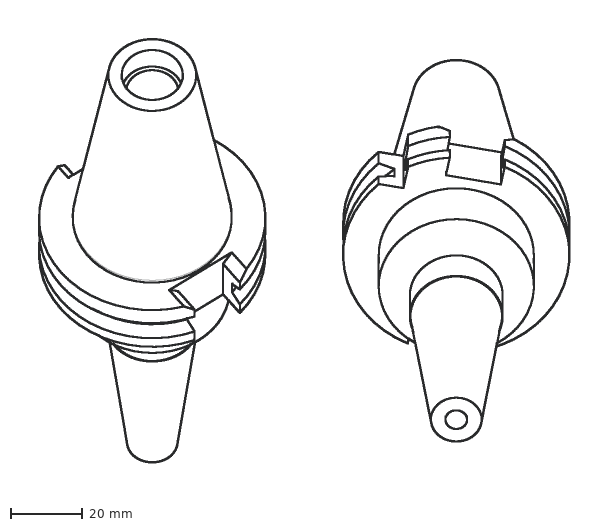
import cadquery as cq

total_length = 178.4
gauge_z = 110.0
flange_top_z = 109.0
flange_bottom_z = 91.2
body_bottom_z = 74.0
neck_top_z = 68.9
nose_top_z = 57.5

taper_ratio = 7 / 24
gauge_radius = 22.3
taper_top_radius = gauge_radius - (total_length - gauge_z) * taper_ratio / 2
flange_radius = 31.8
body_radius = 21.8
neck_radius = 13.0
nose_top_radius = 12.8
nose_tip_radius = 7.1

groove_z = 99.0
groove_floor_width = 4.0
groove_mouth_width = 7.3
groove_radius = 28.2

slot_width = 15.7
left_slot_floor = 25.0
right_slot_floor = 22.8
slot_chamfer = 3.0

notch_x = -18.5
notch_y = 18.7

bore_steps = [(8.5, 8.0), (7.3, 32.1), (5.2, 107.0)]
through_radius = 3.0


def make_body():
    """Revolve the outer profile around Z."""
    floor_half = groove_floor_width / 2
    mouth_half = groove_mouth_width / 2
    profile = [
        (0, 0),
        (nose_tip_radius, 0),
        (nose_top_radius, nose_top_z),
        (neck_radius, nose_top_z),
        (neck_radius, neck_top_z),
        (body_radius, body_bottom_z),
        (body_radius, flange_bottom_z),
        (flange_radius, flange_bottom_z),
        (flange_radius, groove_z - mouth_half),
        (groove_radius, groove_z - floor_half),
        (groove_radius, groove_z + floor_half),
        (flange_radius, groove_z + mouth_half),
        (flange_radius, flange_top_z),
        (gauge_radius, flange_top_z),
        (gauge_radius, gauge_z),
        (taper_top_radius, total_length),
        (0, total_length),
    ]
    return cq.Workplane("XZ").polyline(profile).close().revolve(360, (0, 0), (0, 1))


def make_slot(floor_distance, side):
    """Cutter for a drive slot; side is -1 for -X and +1 for +X."""
    half = slot_width / 2
    section = [
        (-half, flange_bottom_z),
        (half, flange_bottom_z),
        (half, flange_top_z - slot_chamfer),
        (half + slot_chamfer, flange_top_z),
        (-half - slot_chamfer, flange_top_z),
        (-half, flange_top_z - slot_chamfer),
    ]
    plane = cq.Workplane("YZ", origin=(side * floor_distance, 0, 0))
    return plane.polyline(section).close().extrude(side * flange_radius)


def make_notch():
    """Cutter for the square-cornered orientation notch."""
    return cq.Workplane("XY").box(
        flange_radius, flange_radius, flange_top_z - flange_bottom_z, centered=False
    ).translate((notch_x - flange_radius, notch_y, flange_bottom_z))


def make_bore():
    """Cutter for the through hole and its wider steps."""
    bore = cq.Workplane("XY").circle(through_radius).extrude(total_length)
    for radius, depth in bore_steps:
        step = cq.Workplane("XY", origin=(0, 0, total_length - depth)).circle(radius).extrude(depth)
        bore = bore.union(step)
    return bore


result = (
    make_body()
    .cut(make_slot(left_slot_floor, -1))
    .cut(make_slot(right_slot_floor, 1))
    .cut(make_notch())
    .cut(make_bore())
)